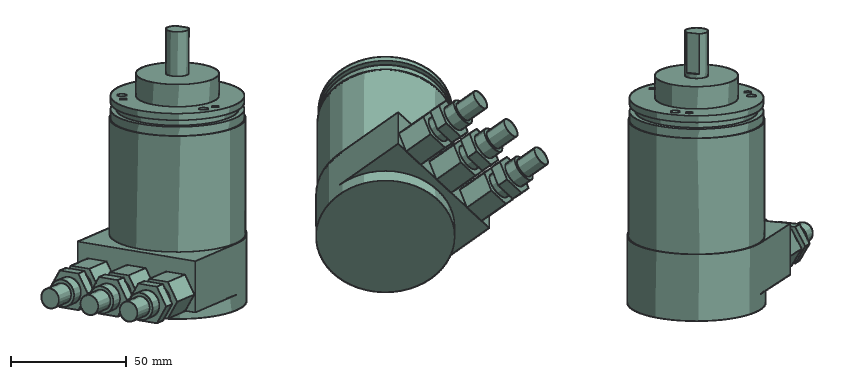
import cadquery as cq
import math

HOUSING_TOP = 30.0
BLOCK_BOTTOM = 7.0
BODY_TOP = 82.0
GROOVE_BOTTOM = 86.0
GROOVE_TOP = 89.0
FLANGE_TOP = 92.0
PILOT_TOP = 102.0
SHAFT_TOP = 122.0

HOUSING_DIAMETER = 60.0
BODY_DIAMETER = 59.0
FLANGE_DIAMETER = 58.0
GROOVE_DIAMETER = 53.0
PILOT_DIAMETER = 36.0
SHAFT_DIAMETER = 10.0

FLAT_OFFSET = 4.0
FLAT_START = PILOT_TOP + 2.0

HOLE_CIRCLE_RADIUS = 24.0
HOLES_PER_SET = 3
HOLE_DEPTH = 8.0
LARGE_HOLE_DIAMETER = 4.0
LARGE_HOLE_START_ANGLE = 90.0
SMALL_HOLE_DIAMETER = 3.0
SMALL_HOLE_START_ANGLE = LARGE_HOLE_START_ANGLE + 15.0

BLOCK_REACH = 33.5
GLAND_COUNT = 3
GLAND_SPACING = 20.0
GLAND_HEIGHT = 15.0
HEX_ACROSS_CORNERS = 19.0
GLAND_HEX_LENGTH = 14.0
GLAND_NECK_LENGTH = 4.0
LOCKNUT_LENGTH = 5.0
GLAND_COLLAR_LENGTH = 5.5
CABLE_LENGTH = 10.0
GLAND_DIAMETER = 12.0
CABLE_DIAMETER = 9.0


def cylinder(diameter, bottom, top):
    """Cylinder on the shaft axis between two heights."""
    return cq.Workplane("XY").workplane(offset=bottom).circle(diameter / 2).extrude(top - bottom)


def turned_body():
    """Stacked round sections from the housing up to the pilot."""
    sections = [
        (HOUSING_DIAMETER, HOUSING_TOP),
        (BODY_DIAMETER, BODY_TOP),
        (FLANGE_DIAMETER, GROOVE_BOTTOM),
        (GROOVE_DIAMETER, GROOVE_TOP),
        (FLANGE_DIAMETER, FLANGE_TOP),
        (PILOT_DIAMETER, PILOT_TOP),
    ]
    body = cq.Workplane("XY")
    bottom = 0.0
    for diameter, top in sections:
        body = body.union(cylinder(diameter, bottom, top))
        bottom = top
    return body


def shaft():
    """Output shaft with a flat that runs out at its free end."""
    flat_cut = (
        cq.Workplane("XY")
        .workplane(offset=FLAT_START)
        .center(0, FLAT_OFFSET)
        .rect(SHAFT_DIAMETER, SHAFT_DIAMETER, centered=(True, False))
        .extrude(SHAFT_TOP - FLAT_START)
    )
    return cylinder(SHAFT_DIAMETER, PILOT_TOP, SHAFT_TOP).cut(flat_cut)


def connection_block():
    """Rectangular block from the shaft axis out to the gland face."""
    return (
        cq.Workplane("XY")
        .workplane(offset=BLOCK_BOTTOM)
        .center(0, -BLOCK_REACH)
        .rect(HOUSING_DIAMETER, BLOCK_REACH, centered=(True, False))
        .extrude(HOUSING_TOP - BLOCK_BOTTOM)
    )


def cable_gland(x):
    """Gland body, neck, locknut, collar and cable, stacked outward along -Y."""
    def section_plane(y):
        return cq.Workplane("XZ", origin=(x, y, GLAND_HEIGHT))

    def hexagon(y, length):
        return section_plane(y).polygon(6, HEX_ACROSS_CORNERS).extrude(length)

    def rod(y, diameter, length):
        return section_plane(y).circle(diameter / 2).extrude(length)

    neck_y = -BLOCK_REACH - GLAND_HEX_LENGTH
    locknut_y = neck_y - GLAND_NECK_LENGTH
    collar_y = locknut_y - LOCKNUT_LENGTH
    cable_y = collar_y - GLAND_COLLAR_LENGTH

    gland = hexagon(-BLOCK_REACH, GLAND_HEX_LENGTH)
    gland = gland.union(rod(neck_y, GLAND_DIAMETER, GLAND_NECK_LENGTH))
    gland = gland.union(hexagon(locknut_y, LOCKNUT_LENGTH))
    gland = gland.union(rod(collar_y, GLAND_DIAMETER, GLAND_COLLAR_LENGTH))
    return gland.union(rod(cable_y, CABLE_DIAMETER, CABLE_LENGTH))


def flange_holes(diameter, start_angle):
    """Cutters for one set of evenly spaced blind holes in the flange face."""
    angles = [math.radians(start_angle + i * 360 / HOLES_PER_SET) for i in range(HOLES_PER_SET)]
    centers = [(HOLE_CIRCLE_RADIUS * math.cos(a), HOLE_CIRCLE_RADIUS * math.sin(a)) for a in angles]
    return (
        cq.Workplane("XY")
        .workplane(offset=FLANGE_TOP)
        .pushPoints(centers)
        .circle(diameter / 2)
        .extrude(-HOLE_DEPTH)
    )


result = turned_body().union(shaft()).union(connection_block())
for index in range(GLAND_COUNT):
    gland_x = (index - (GLAND_COUNT - 1) / 2) * GLAND_SPACING
    result = result.union(cable_gland(gland_x))
result = result.cut(flange_holes(LARGE_HOLE_DIAMETER, LARGE_HOLE_START_ANGLE))
result = result.cut(flange_holes(SMALL_HOLE_DIAMETER, SMALL_HOLE_START_ANGLE))